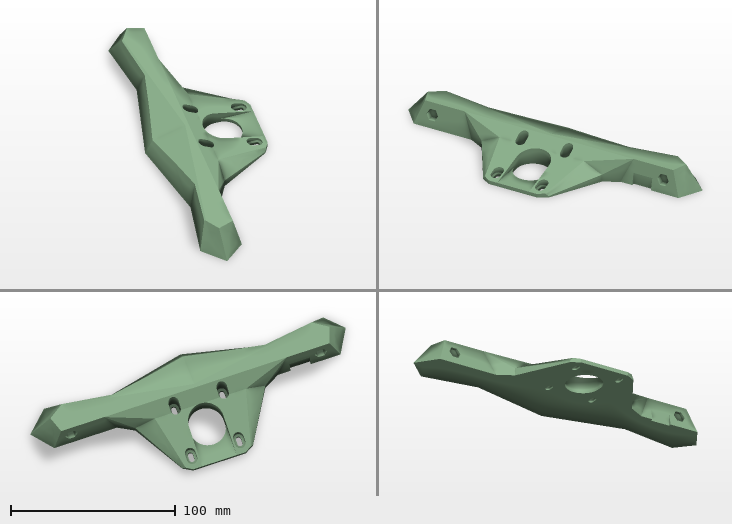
import cadquery as cq
import math


height = 16.0
left_tip = (-100.6, -15.0)
right_tip = (103.0, -13.0)
foot_rear = (92.0, 0)
foot_front = (89.8, -25.9)
foot_kink = (52.5, -20.0)
foot_nose = (0, -31.8)
top_rear = (86.4, -3.9)
top_end = (89.8, -13.9)
top_front = (80.3, -20.2)
top_kink = (48.7, -15.9)
top_nose = (0, -23.8)

valley_start = -6.1
valley_fall = 0.31
valley_spread = 6.1
valley_reach = 28.5

plate_rear = 41.2
fold = 5.5
rear_top = 2.5
rear_half_width = 20.8
fold_half_width = 41.8
rear_section = (plate_rear, rear_half_width, 0.6, 20.4, rear_top)
fold_section = (fold, fold_half_width, 4.9, 29.3, 11.0)
runout_gap = 0.2
runout = 58.9
bar_section = (top_rear[1], runout, height - runout_gap, runout - runout_gap, height)
corner_chamfer = 3.9

bore_width = 22.2
bore_length = 24.7
bore_y = 17.7
slot_x = 15.5
slot_rows = (33.2, 2.2)
slot_width = 3.3
slot_length = 6.3
recess_width = 6.5
recess_length = 9.8
recess_floor = 1.8

notch_left = -73.0
notch_width = 13.0
notch_depth = 1.8
nut_x = 80.3
nut_z = 8.4
nut_across_corners = 8.0
nut_pocket_depth = 5.0


def mirrored(point):
    return (-point[0], point[1])


def closed_outline(rear, right_end, front, kink, nose, left_end):
    """Full bar outline from its right half, with its own point at each end."""
    right = [rear, right_end, front, kink]
    left = [mirrored(kink), mirrored(front), left_end, mirrored(rear)]
    return right + [nose] + left


def polygon_wire(points):
    return cq.Wire.makePolygon([cq.Vector(*p) for p in points], close=True)


def ruled_solid(*sections):
    return cq.Workplane(obj=cq.Solid.makeLoft([polygon_wire(s) for s in sections], True))


def make_bar():
    foot = closed_outline(foot_rear, right_tip, foot_front, foot_kink, foot_nose, left_tip)
    top = closed_outline(top_rear, top_end, top_front, top_kink, top_nose, mirrored(top_end))
    return ruled_solid([(x, y, 0) for x, y in foot], [(x, y, height) for x, y in top])


def make_valley():
    """Pyramid lying on its side: it widens and deepens from its apex towards the front."""
    apex = cq.Vector(0, valley_start, height)
    front = valley_start - valley_reach
    half_width = valley_spread * valley_reach
    bottom = cq.Vector(0, front, height - valley_fall * valley_reach)
    right = cq.Vector(half_width, front, height)
    left = cq.Vector(-half_width, front, height)
    triangles = [(apex, bottom, right), (apex, left, bottom), (apex, right, left), (bottom, left, right)]
    faces = [cq.Face.makeFromWires(cq.Wire.makePolygon(t, close=True)) for t in triangles]
    return cq.Workplane(obj=cq.Solid.makeSolid(cq.Shell.makeShell(faces)))


def plate_section(y, foot_half, wall_height, top_half, top_height):
    right = [(foot_half, y, 0), (foot_half, y, wall_height), (top_half, y, top_height)]
    left = [(-x, y, z) for x, y, z in reversed(right)]
    return right + left


def chamfer_corner(side):
    """Prism that cuts off one rear corner of the plate, equally far along both edges."""
    edge_x = fold_half_width - rear_half_width
    edge_y = fold - plate_rear
    share = corner_chamfer / math.hypot(edge_x, edge_y)
    start = (rear_half_width - corner_chamfer, plate_rear)
    end = (rear_half_width + share * edge_x, plate_rear + share * edge_y)
    outside = (end[0], plate_rear)
    points = [(side * x, y) for x, y in (start, end, outside)]
    return cq.Workplane().polyline(points).close().extrude(height)


def upright_slots(points, width, length, floor):
    return (
        cq.Workplane(origin=(0, 0, floor)).pushPoints(points)
        .slot2D(length, width, 90).extrude(height)
    )


def make_plate():
    plate = ruled_solid(plate_section(*rear_section), plate_section(*fold_section))
    plate = plate.union(ruled_solid(plate_section(*fold_section), plate_section(*bar_section)))
    for side in (-1, 1):
        plate = plate.cut(chamfer_corner(side))
    return plate


def cut_plate_openings(body):
    channel = cq.Workplane(origin=(0, 0, rear_top)).rect(bore_width, 2 * (plate_rear - bore_y))
    body = body.cut(channel.extrude(height).translate((0, plate_rear, 0)))
    body = body.cut(upright_slots([(0, bore_y)], bore_width, bore_length, 0))
    screw_points = [(side * slot_x, y) for side in (-1, 1) for y in slot_rows]
    body = body.cut(upright_slots(screw_points, recess_width, recess_length, recess_floor))
    return body.cut(upright_slots(screw_points, slot_width, slot_length, 0))


def cut_rear_wall(body):
    notch = cq.Workplane().box(notch_width, 2 * notch_depth, height, centered=(False, True, False))
    body = body.cut(notch.translate((notch_left, 0, 0)))
    nuts = (
        cq.Workplane("XZ").pushPoints([(-nut_x, nut_z), (nut_x, nut_z)])
        .polygon(6, nut_across_corners).extrude(nut_pocket_depth)
    )
    return body.cut(nuts)


bar = make_bar().cut(make_valley())
result = cut_rear_wall(cut_plate_openings(bar.union(make_plate())))